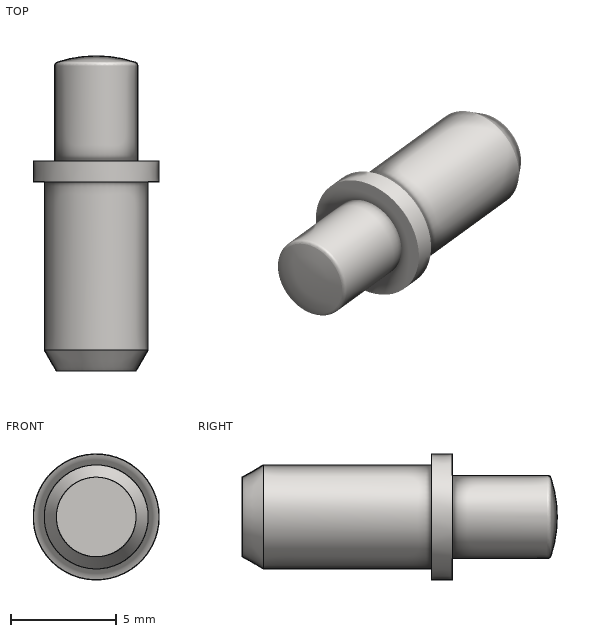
import cadquery as cq
import math

total_length = 15.0
barrel_length = 9.0
flange_thickness = 1.0
plunger_length = total_length - barrel_length - flange_thickness

barrel_radius = 2.48
flange_radius = 3.0
plunger_radius = 1.98

taper_length = 1.0
taper_angle = 30.0
taper_end_radius = barrel_radius - taper_length * math.tan(math.radians(taper_angle))

dome_height = 0.35
rim_fillet = 0.2


def make_barrel():
    """Cylinder along +Y, tapered at its free end."""
    profile = (
        cq.Workplane("XY")
        .lineTo(taper_end_radius, 0)
        .lineTo(barrel_radius, taper_length)
        .lineTo(barrel_radius, barrel_length)
        .lineTo(0, barrel_length)
        .close()
    )
    return profile.revolve(360, (0, 0), (0, 1))


def make_flange():
    """Stop collar between the barrel and the plunger."""
    profile = cq.Workplane("XY").moveTo(0, barrel_length).rect(flange_radius, flange_thickness, centered=False)
    return profile.revolve(360, (0, 0), (0, 1))


def make_plunger():
    """Thin cylinder with a spherical dome and a rounded rim."""
    base = barrel_length + flange_thickness
    shoulder = base + plunger_length - dome_height
    dome_radius = (plunger_radius**2 + dome_height**2) / (2 * dome_height)
    mid_x = plunger_radius / 2
    mid_y = total_length - dome_radius + math.sqrt(dome_radius**2 - mid_x**2)
    profile = (
        cq.Workplane("XY")
        .moveTo(0, base)
        .lineTo(plunger_radius, base)
        .lineTo(plunger_radius, shoulder)
        .threePointArc((mid_x, mid_y), (0, total_length))
        .close()
    )
    plunger = profile.revolve(360, (0, 0), (0, 1))
    rim = cq.selectors.BoxSelector(
        (-flange_radius, shoulder - rim_fillet, -flange_radius),
        (flange_radius, shoulder + rim_fillet, flange_radius),
    )
    return plunger.edges("%CIRCLE").edges(rim).fillet(rim_fillet)


result = make_barrel().union(make_flange()).union(make_plunger())